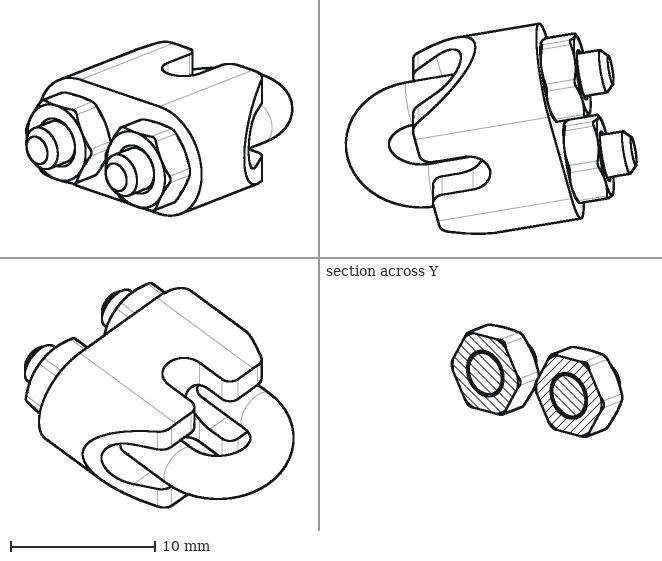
import cadquery as cq
import math


rod_diameter = 3.0
rod_spacing = 7.5
rod_xs = (-rod_spacing / 2, rod_spacing / 2)

thread_reach = 4.4
tip_chamfer = 0.5
overall_length = 19.5
bend_radius = rod_spacing / 2
bend_start = overall_length - thread_reach - bend_radius - rod_diameter / 2

saddle_height = 8.0
saddle_width = rod_spacing + saddle_height
saddle_length = 9.5
shoulder_drop = 5.17
shoulder_angle = 30.0
shoulder_radius = 1.0
slot_mouth_radius = 0.8
rope_slot_width = 3.0
rope_slot_depth = 4.5
channel_height = 4.0
channel_depth = 4.0

hexagon_sides = 6
nut_flats = 5.5
nut_length = 2.4
nut_edge_radius = 0.5
nut_chamfer_angle = 30.0
countersink_diameter = 3.47
countersink_depth = (countersink_diameter - rod_diameter) / 2


def rod_along_y(x, diameter, start, length):
    """Round bar parallel to Y, starting at Y = start and running toward +Y."""
    return cq.Workplane("XZ", origin=(x, start, 0)).circle(diameter / 2).extrude(-length)


def round_bottom_slot(plane, width, depth):
    """Slot cut into the saddle's back end, symmetric about the plane, with a semicircular bottom."""
    half_width = width / 2
    bottom = saddle_length - depth
    return (
        cq.Workplane(plane)
        .moveTo(-half_width, saddle_length)
        .lineTo(-half_width, bottom + half_width)
        .threePointArc((0, bottom), (half_width, bottom + half_width))
        .lineTo(half_width, saddle_length)
        .close()
        .extrude(saddle_width, both=True)
    )


def make_saddle():
    shoulder_y = saddle_length - shoulder_drop
    half_width = saddle_width / 2
    half_crown = half_width - shoulder_drop * math.tan(math.radians(shoulder_angle))
    profile = (
        cq.Workplane("XY")
        .polyline([
            (-half_width, 0),
            (half_width, 0),
            (half_width, shoulder_y),
            (half_crown, saddle_length),
            (-half_crown, saddle_length),
            (-half_width, shoulder_y),
        ])
        .close()
        .extrude(saddle_height / 2, both=True)
        .cut(round_bottom_slot("XY", rope_slot_width, rope_slot_depth))
    )

    profile = profile.edges("|Z and >Y").edges("not(<X or >X)").fillet(slot_mouth_radius)
    profile = profile.edges("|Z and >Y").edges("<X or >X").fillet(shoulder_radius)

    stadium = cq.Workplane("XZ").slot2D(saddle_width, saddle_height).extrude(-saddle_length)
    saddle = profile.intersect(stadium)

    saddle = saddle.cut(round_bottom_slot("ZY", channel_height, channel_depth))
    for x in rod_xs:
        saddle = saddle.cut(rod_along_y(x, rod_diameter, 0, saddle_length))
    return saddle


def make_u_bolt():
    leg_length = thread_reach + bend_start
    u_bolt = (
        cq.Workplane("XZ", origin=(-bend_radius, bend_start, 0))
        .circle(rod_diameter / 2)
        .revolve(180, (bend_radius, 0), (bend_radius, -1))
    )
    for x in rod_xs:
        leg = rod_along_y(x, rod_diameter, -thread_reach, leg_length).faces("<Y").chamfer(tip_chamfer)
        u_bolt = u_bolt.union(leg)
    return u_bolt


def make_nut(x):
    corner_diameter = nut_flats / math.cos(math.pi / hexagon_sides)
    hexagon = (
        cq.Workplane("XZ", origin=(x, 0, 0))
        .polygon(hexagon_sides, corner_diameter)
        .extrude(nut_length)
        .edges("|Y")
        .fillet(nut_edge_radius)
    )

    face_radius = nut_flats / 2
    bevel_width = corner_diameter / 2 - face_radius
    bevel_depth = bevel_width * math.tan(math.radians(nut_chamfer_angle))
    bevelled_blank = (
        cq.Workplane("XZ", origin=(x, 0, 0))
        .circle(corner_diameter / 2)
        .extrude(nut_length)
        .faces("<Y or >Y")
        .chamfer(bevel_depth, bevel_width)
    )
    nut = hexagon.intersect(bevelled_blank)

    bore = rod_along_y(x, rod_diameter, -nut_length, nut_length)
    nut = nut.cut(bore)
    end_circles = nut.faces("<Y or >Y").edges("%CIRCLE")
    return end_circles.edges(cq.selectors.RadiusNthSelector(0)).chamfer(countersink_depth)


saddle = make_saddle()
u_bolt = make_u_bolt()
nuts = [make_nut(x) for x in rod_xs]

result = cq.Compound.makeCompound([saddle.val(), u_bolt.val(), *[nut.val() for nut in nuts]])